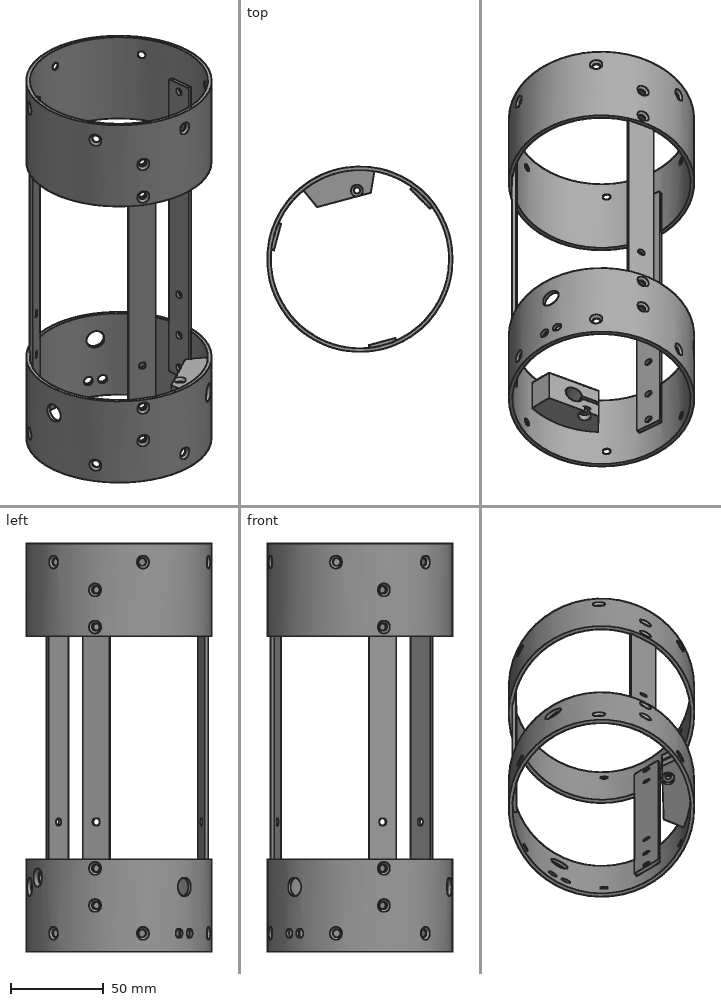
import cadquery as cq
import math

ring_outer_radius = 50.0
ring_wall = 2.0
ring_inner_radius = ring_outer_radius - ring_wall
ring_height = 50.0
overall_height = 220.0
upper_ring_base = overall_height - ring_height

screw_diameter = 4.2
screw_head_diameter = 7.0
countersink_angle = 90.0

edge_hole_angles = [15.0 + 60.0 * i for i in range(6)]
edge_hole_inset = 10.0

strip_angles = [45.0, 165.0, 285.0]
strip_width = 15.0
strip_thickness = 2.0
strip_inner_distance = 45.9
strip_end_inset = 20.0
strip_length = overall_height - 2 * strip_end_inset
strip_corner_radius = 1.0
strip_hole_diameter = 4.0
strip_screw_insets = [25.0, 45.0]
strip_screw_heights = strip_screw_insets + [overall_height - inset for inset in strip_screw_insets]
strip_middle_hole_height = 70.0

bracket_angle = 105.0
port_angles = [bracket_angle + 120.0 * i for i in range(3)]
port_diameter = 10.0
port_height = 35.0
small_hole_angle = 225.0
small_hole_diameter = 5.0
small_hole_spacing = 8.0

bracket_face_width = 30.0
bracket_face_distance = 33.0
bracket_height = 20.0
bracket_base = port_height - bracket_height / 2
clamp_slit = 2.0
clamp_screw_offset = 8.0
clamp_screw_distance = 36.1
clamp_screw_diameter = 3.2
clamp_head_diameter = 6.4
clamp_nut_diameter = 6.8
clamp_nut_depth = 4.0

fixing_angle = 118.5
fixing_height = 40.0
fixing_diameter = 5.0
fixing_head_diameter = 10.0
fixing_depth = 10.0


def turned(shape, angle):
    """Turn a shape about the Z axis."""
    return shape.rotate((0, 0, 0), (0, 0, 1), angle)


def radial_hole(diameter, angle, height, offset=0.0):
    """Cutter along a radial direction, from the centre to beyond the outside of the ring."""
    length = ring_outer_radius + ring_wall
    cutter = cq.Workplane("YZ").center(offset, height).circle(diameter / 2).extrude(length)
    return turned(cutter, angle)


def countersink(diameter, head_diameter, depth):
    """Cutter along Z: a cone starting at Z = 0, its hole below and room for the head above."""
    cone_depth = (head_diameter - diameter) / 2 / math.tan(math.radians(countersink_angle / 2))
    return (
        cq.Workplane("XZ")
        .polyline([
            (0, head_diameter),
            (head_diameter / 2, head_diameter),
            (head_diameter / 2, 0),
            (diameter / 2, -cone_depth),
            (diameter / 2, -depth),
            (0, -depth),
        ])
        .close()
        .revolve(360, (0, 0, 0), (0, 1, 0))
    )


def radial_countersink(diameter, head_diameter, depth, angle, height):
    """Countersunk cutter entering the outside of the ring and pointing at its axis."""
    cutter = countersink(diameter, head_diameter, depth).rotate((0, 0, 0), (0, 1, 0), 90)
    return turned(cutter.translate((ring_outer_radius, 0, height)), angle)


def make_strip(angle):
    """Flat upright strip with rounded ends and a column of holes."""
    strip = (
        cq.Workplane("XY")
        .box(strip_thickness, strip_width, strip_length, centered=(False, True, False))
        .edges("|X")
        .fillet(strip_corner_radius)
        .translate((strip_inner_distance, 0, strip_end_inset))
    )
    strip = turned(strip, angle)
    for height in strip_screw_heights + [strip_middle_hole_height]:
        strip = strip.cut(radial_hole(strip_hole_diameter, angle, height))
    return strip


def make_ring(base, edge_hole_height, strips):
    """Ring with countersunk holes and shallow seats for the strips."""
    ring = (
        cq.Workplane("XY", origin=(0, 0, base))
        .circle(ring_outer_radius)
        .circle(ring_inner_radius)
        .extrude(ring_height)
    )
    for strip in strips:
        ring = ring.cut(strip)
    screws = [(angle, edge_hole_height) for angle in edge_hole_angles]
    for height in strip_screw_heights:
        if base < height < base + ring_height:
            screws += [(angle, height) for angle in strip_angles]
    depth = 2 * ring_wall
    for angle, height in screws:
        ring = ring.cut(radial_countersink(screw_diameter, screw_head_diameter, depth, angle, height))
    return ring


def fixing_cutter():
    """Countersunk hole shared by the ring wall and the bracket behind it."""
    return radial_countersink(
        fixing_diameter, fixing_head_diameter, fixing_depth, fixing_angle, fixing_height
    )


def make_lower_ring(strips):
    """Ring with the side ports, the pair of small holes and the bracket screw hole added."""
    ring = make_ring(0, edge_hole_inset, strips)
    for angle in port_angles:
        ring = ring.cut(radial_hole(port_diameter, angle, port_height))
    for side in (-1, 1):
        offset = side * small_hole_spacing / 2
        ring = ring.cut(radial_hole(small_hole_diameter, small_hole_angle, edge_hole_inset, offset))
    return ring.cut(fixing_cutter())


def make_bracket():
    """Split clamp block: a sector with radial sides and a flat inner face."""
    face_half_width = bracket_face_width / 2
    half_angle = math.atan2(face_half_width, bracket_face_distance)
    back_x = ring_inner_radius * math.cos(half_angle)
    back_y = ring_inner_radius * math.sin(half_angle)
    block = (
        cq.Workplane("XY", origin=(0, 0, bracket_base))
        .moveTo(bracket_face_distance, -face_half_width)
        .lineTo(back_x, -back_y)
        .threePointArc((ring_inner_radius, 0), (back_x, back_y))
        .lineTo(bracket_face_distance, face_half_width)
        .close()
        .extrude(bracket_height)
    )
    slit = (
        cq.Workplane("XY")
        .box(ring_outer_radius, ring_outer_radius, clamp_slit, centered=(False, False, True))
        .translate((0, -ring_outer_radius, port_height))
    )
    clamp_screw = countersink(clamp_screw_diameter, clamp_head_diameter, 2 * bracket_height).translate(
        (clamp_screw_distance, -clamp_screw_offset, bracket_base + bracket_height)
    )
    nut_recess = (
        cq.Workplane("XY", origin=(clamp_screw_distance, -clamp_screw_offset, bracket_base))
        .circle(clamp_nut_diameter / 2)
        .extrude(clamp_nut_depth)
    )
    block = turned(block.cut(slit).cut(clamp_screw).cut(nut_recess), bracket_angle)
    block = block.cut(radial_hole(port_diameter, bracket_angle, port_height))
    return block.cut(fixing_cutter())


strips = [make_strip(angle) for angle in strip_angles]
lower_ring = make_lower_ring(strips)
upper_ring = make_ring(upper_ring_base, overall_height - edge_hole_inset, strips)
bracket = make_bracket()

result = cq.Compound.makeCompound([
    lower_ring.val(),
    upper_ring.val(),
    bracket.val(),
    *[strip.val() for strip in strips],
])